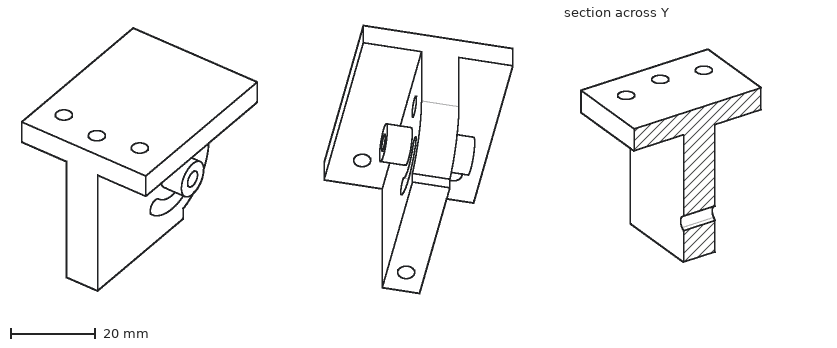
import cadquery as cq
import math

plate_width = 36.0
plate_length = 45.0
plate_thickness = 6.0
total_height = 40.24
plate_bottom = total_height - plate_thickness

web_thickness = 9.0
web_left = 13.0
web_center_x = web_left + web_thickness / 2

pivot_radius = 15.0
pivot_depth = 23.0
pivot_y = plate_length - pivot_radius
pivot_z = total_height - pivot_depth
foot_rear_y = 34.65

boss_diameter = 9.0
boss_height = 6.0
pivot_bore = 4.0

adjust_radius = 9.5
slot_width = 4.0
slot_half_angle = 45.0
locating_bore = 5.0
locating_angle = 45.0

mount_bore = 4.0
outer_hole_offset = 11.0
outer_hole_y = 8.0
middle_hole_y = 6.0


def pivot_polar(radius, angle):
    """Point (Y, Z) at a radius from the pivot; the angle runs from +Y towards +Z."""
    turn = math.radians(angle)
    return (pivot_y + radius * math.cos(turn), pivot_z + radius * math.sin(turn))


def side_plane(x):
    """YZ plane at the given X, facing +X."""
    return cq.Workplane("YZ", origin=(x, 0, 0))


def make_plate():
    plate = cq.Workplane("XY").box(plate_width, plate_length, plate_thickness, centered=False)
    return plate.translate((0, 0, plate_bottom))


def make_web():
    foot_angle = -math.degrees(math.acos((foot_rear_y - pivot_y) / pivot_radius))
    return (
        side_plane(web_left)
        .lineTo(foot_rear_y, 0)
        .lineTo(*pivot_polar(pivot_radius, foot_angle))
        .threePointArc(pivot_polar(pivot_radius, foot_angle / 2), pivot_polar(pivot_radius, 0))
        .lineTo(plate_length, plate_bottom)
        .lineTo(0, plate_bottom)
        .close()
        .extrude(web_thickness)
    )


def side_cylinder(center, diameter, overhang):
    """Cylinder across the web that extends past both of its sides."""
    return (
        side_plane(web_left - overhang)
        .center(*center)
        .circle(diameter / 2)
        .extrude(web_thickness + 2 * overhang)
    )


def make_slot():
    """Curved slot centered below the pivot, with rounded ends."""
    inner = adjust_radius - slot_width / 2
    outer = adjust_radius + slot_width / 2
    down = -90.0
    start = down - slot_half_angle
    end = down + slot_half_angle
    tip_angle = math.degrees(math.atan2(slot_width / 2, adjust_radius))
    tip_radius = math.hypot(adjust_radius, slot_width / 2)
    return (
        side_plane(web_left)
        .moveTo(*pivot_polar(inner, start))
        .threePointArc(pivot_polar(inner, down), pivot_polar(inner, end))
        .threePointArc(pivot_polar(tip_radius, end + tip_angle), pivot_polar(outer, end))
        .threePointArc(pivot_polar(outer, down), pivot_polar(outer, start))
        .threePointArc(pivot_polar(tip_radius, start - tip_angle), pivot_polar(inner, start))
        .close()
        .extrude(web_thickness)
    )


def make_mount_holes():
    centers = [
        (web_center_x - outer_hole_offset, outer_hole_y),
        (web_center_x, middle_hole_y),
        (web_center_x + outer_hole_offset, outer_hole_y),
    ]
    return cq.Workplane("XY").pushPoints(centers).circle(mount_bore / 2).extrude(total_height)


pivot_center = (pivot_y, pivot_z)
locating_center = pivot_polar(adjust_radius, locating_angle)

body = make_plate().union(make_web()).union(side_cylinder(pivot_center, boss_diameter, boss_height))
body = body.cut(side_cylinder(pivot_center, pivot_bore, boss_height))
body = body.cut(side_cylinder(locating_center, locating_bore, 0))
body = body.cut(make_slot())
result = body.cut(make_mount_holes())